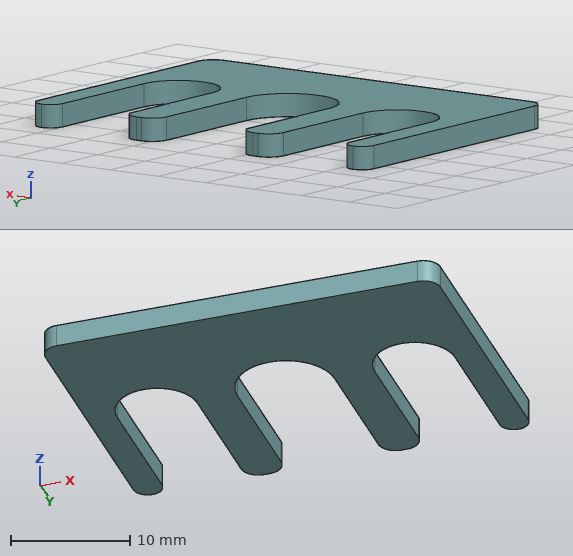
import cadquery as cq

length = 35.05
width = 25.4
thickness = 2.0
corner_radius = 1.5

slot_straight_depth = 12.75
center_slot_width = 8.62
side_slot_width = 7.1
side_slot_offset = 11.43

outer_finger_width = length / 2 - side_slot_offset - side_slot_width / 2
outer_tip_flat = 0.018
outer_tip_radius = (outer_finger_width - outer_tip_flat) / 2


def open_slot(center_x, slot_width):
    """Cutter with parallel sides and a semicircular bottom."""
    radius = slot_width / 2
    open_y = width / 2
    arc_center_y = open_y - slot_straight_depth
    return (
        cq.Workplane("XY")
        .moveTo(center_x - radius, open_y)
        .lineTo(center_x - radius, arc_center_y)
        .threePointArc((center_x, arc_center_y - radius), (center_x + radius, arc_center_y))
        .lineTo(center_x + radius, open_y)
        .close()
        .extrude(thickness)
    )


plate = cq.Workplane("XY").box(length, width, thickness, centered=(True, True, False))
plate = plate.edges("|Z and <Y").fillet(corner_radius)

slots = (
    (-side_slot_offset, side_slot_width),
    (0, center_slot_width),
    (side_slot_offset, side_slot_width),
)
for center_x, slot_width in slots:
    plate = plate.cut(open_slot(center_x, slot_width))

inner_tip_zone = cq.selectors.BoxSelector(
    (-side_slot_offset, 0, 0),
    (side_slot_offset, width, thickness),
)
tip_corners = plate.edges("|Z and >Y")
plate = plate.newObject(tip_corners.edges(inner_tip_zone).vals()).fillet(corner_radius)

outer_tip_corners = plate.edges("|Z").edges(">Y").edges(cq.selectors.InverseSelector(inner_tip_zone))
result = outer_tip_corners.fillet(outer_tip_radius)